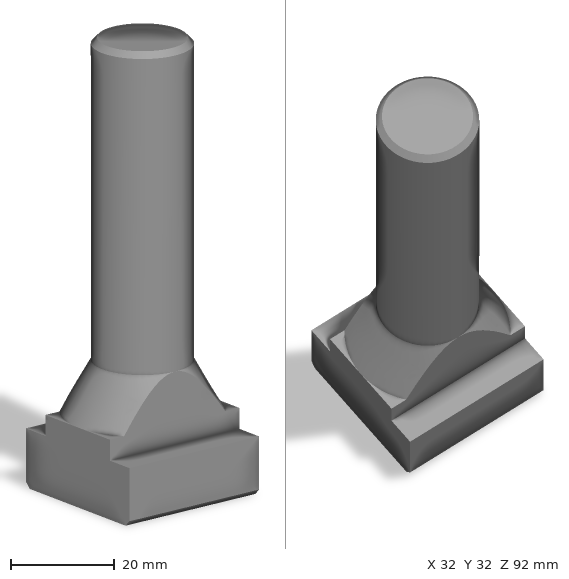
import cadquery as cq

total_height = 92.0
head_side = 32.0
head_height = 12.0
head_chamfer = 1.2
shank_diameter = 20.0
shank_chamfer = 1.2
neck_width = shank_diameter
neck_top = 16.2
cone_top = 26.8


def make_head():
    """Square head, chamfered along the two bottom edges parallel to Y."""
    head = cq.Workplane("XY").box(head_side, head_side, head_height, centered=(True, True, False))
    return head.faces("<Z").edges("|Y").chamfer(head_chamfer)


def make_neck():
    """Slot-guiding block that runs the full depth of the head."""
    return (
        cq.Workplane("XY")
        .workplane(offset=head_height)
        .rect(neck_width, head_side)
        .extrude(neck_top - head_height)
    )


def make_cone():
    """Conical transition to the shank, trimmed flush with the neck sides."""
    cone_height = cone_top - neck_top
    cone = cq.Workplane("XY").add(
        cq.Solid.makeCone(
            head_side / 2,
            shank_diameter / 2,
            cone_height,
            pnt=cq.Vector(0, 0, neck_top),
        )
    )
    trim = (
        cq.Workplane("XY")
        .workplane(offset=neck_top)
        .rect(neck_width, head_side)
        .extrude(cone_height)
    )
    return cone.intersect(trim)


def make_shank():
    """Round shank with a chamfered free end."""
    shank = (
        cq.Workplane("XY")
        .workplane(offset=cone_top)
        .circle(shank_diameter / 2)
        .extrude(total_height - cone_top)
    )
    return shank.faces(">Z").chamfer(shank_chamfer)


result = make_head().union(make_neck()).union(make_cone()).union(make_shank())